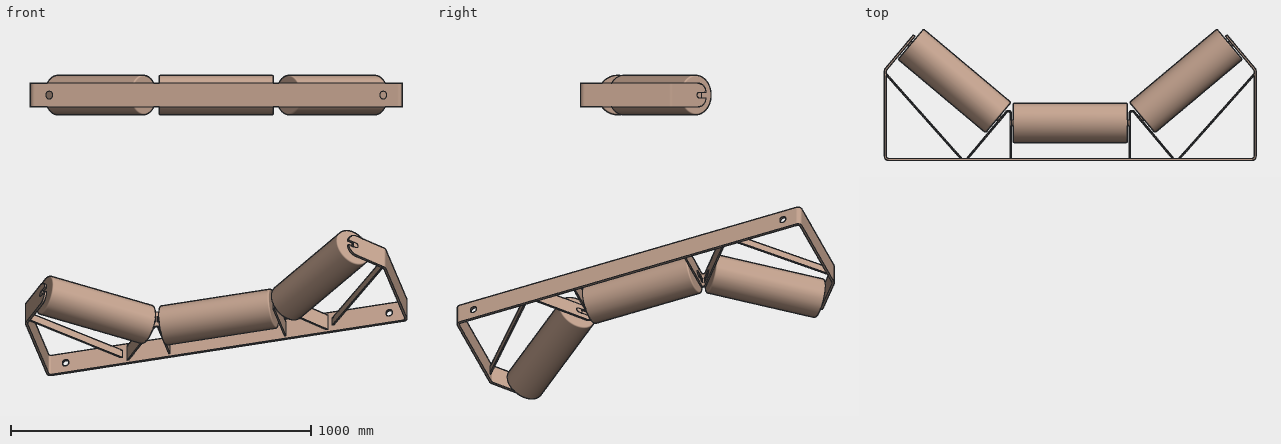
import cadquery as cq
import math


frame_length = 1240.0
frame_width = 79.0
bracket_width = 60.0
brace_width = 30.0
frame_thickness = 7.0
inner_thickness = 5.0

roller_diameter = 133.0
roller_length = 381.0
roller_edge_radius = 5.0
shaft_diameter = 20.0
end_gap = 6.0
tilt = 40.0
centre_axis_y = 125.0
wing_x = -386.0
wing_y = 265.0

slot_width = 19.0
slot_reach = 50.0
tongue_reach = 10.0

frame_bend_radius = 7.0
frame_tip_reach = 30.0
frame_tip_radius = 33.0
hole_x = 557.0
hole_width = 21.0
hole_height = 26.0

bracket_top_y = 166.0
bracket_bend_radius = 1.0
brace_foot_x = -361.0
brace_head_y = 290.0

half_length = frame_length / 2
plate_distance = roller_length / 2 + end_gap
tilt_cos = math.cos(math.radians(tilt))
tilt_sin = math.sin(math.radians(tilt))


def wing_point(along, up):
    """Point measured along and square to the left roller axis, from the middle of the roller."""
    x = wing_x + along * tilt_cos + up * tilt_sin
    y = wing_y - along * tilt_sin + up * tilt_cos
    return (x, y)


def wing_point_at_x(along, x):
    return wing_point(along, (x - wing_x - along * tilt_cos) / tilt_sin)


def wing_point_at_y(along, y):
    return wing_point(along, (y - wing_y + along * tilt_sin) / tilt_cos)


def to_wing(body):
    """Move a body built along the X axis onto the left roller axis."""
    return body.rotate((0, 0, 0), (0, 0, 1), -tilt).translate((wing_x, wing_y, 0))


def to_centre(body):
    """Move a body built along the X axis onto the centre roller axis."""
    return body.translate((0, centre_axis_y, 0))


def left_and_right(body):
    return [body, body.mirror("YZ")]


def strip_from_outline(points, width):
    """Closed outline in XY, extruded to the width of the strip about Z = 0."""
    return cq.Workplane("XY").polyline(points).close().extrude(width / 2, both=True)


def offset_path(path, distance):
    """Move an open path sideways to its left, with mitred corners."""
    normals = []
    for (x0, y0), (x1, y1) in zip(path, path[1:]):
        length = math.hypot(x1 - x0, y1 - y0)
        normals.append(((y0 - y1) / length, (x1 - x0) / length))
    befores = normals[:1] + normals
    afters = normals + normals[-1:]
    moved = []
    for (x, y), before, after in zip(path, befores, afters):
        mitre = distance / (1 + before[0] * after[0] + before[1] * after[1])
        moved.append((x + mitre * (before[0] + after[0]), y + mitre * (before[1] + after[1])))
    return moved


def bent_strip(outer_path, width, thickness, inside_radius):
    """Strip with one face on the path, its thickness to the left, and rounded bends."""
    inner_path = offset_path(outer_path, thickness)
    strip = strip_from_outline(outer_path + inner_path[::-1], width)
    outside_radius = inside_radius + thickness
    for path, radius in ((inner_path, inside_radius), (outer_path, outside_radius)):
        for x, y in path[1:-1]:
            bend_edge = cq.selectors.NearestToPointSelector((x, y, 0))
            strip = strip.edges("|Z").edges(bend_edge).fillet(radius)
    return strip


def u_bar(face_x, depth, top):
    """Bar along X from face_x: half round below the axis, straight sides up to a flat top."""
    half_width = slot_width / 2
    return (
        cq.Workplane("YZ", origin=(face_x, 0, 0))
        .moveTo(top, -half_width)
        .lineTo(0, -half_width)
        .threePointArc((-half_width, 0), (0, half_width))
        .lineTo(top, half_width)
        .close()
        .extrude(depth)
    )


def make_frame():
    outer_face = -plate_distance - frame_thickness
    tip = wing_point(outer_face, frame_tip_reach)
    bend = wing_point_at_x(outer_face, -half_length)
    left_path = [tip, bend, (-half_length, 0)]
    right_path = [(-x, y) for x, y in reversed(left_path)]
    frame = bent_strip(left_path + right_path, frame_width, frame_thickness, frame_bend_radius)

    corner_block = (
        cq.Workplane("YZ", origin=(outer_face, frame_tip_reach, 0))
        .rect(2 * frame_tip_radius, frame_width)
        .extrude(frame_thickness)
    )
    rounded_end = (
        cq.Workplane("YZ", origin=(outer_face, frame_tip_reach - frame_tip_radius, 0))
        .rect(2 * frame_tip_radius, frame_width)
        .extrude(frame_thickness)
        .edges("|X and >Y")
        .fillet(frame_tip_radius)
    )
    tip_corners = to_wing(corner_block.cut(rounded_end))
    shaft_slot = to_wing(u_bar(-plate_distance, -frame_thickness, slot_reach))
    for cutter in left_and_right(tip_corners) + left_and_right(shaft_slot):
        frame = frame.cut(cutter)

    holes = (
        cq.Workplane("XZ")
        .pushPoints([(-hole_x, 0), (hole_x, 0)])
        .slot2D(hole_height, hole_width, 90)
        .extrude(-frame_thickness)
    )
    return frame.cut(holes)


def make_roller(left_plate, right_plate):
    """Roller along X, with a shaft tongue as deep as each of the two plates that carry it."""
    roller = (
        cq.Workplane("YZ", origin=(-roller_length / 2, 0, 0))
        .circle(roller_diameter / 2)
        .extrude(roller_length)
        .edges()
        .fillet(roller_edge_radius)
    )
    shaft = cq.Workplane("YZ").circle(shaft_diameter / 2).extrude(plate_distance, both=True)
    left_tongue = u_bar(-plate_distance, -left_plate, tongue_reach)
    right_tongue = u_bar(plate_distance, right_plate, tongue_reach)
    return roller.union(shaft).union(left_tongue).union(right_tongue)


def make_inner_bracket():
    """Left bracket: leans against the tilted roller end, then drops beside the centre roller."""
    path = [
        (-plate_distance, frame_thickness),
        (-plate_distance, bracket_top_y),
        wing_point_at_y(plate_distance, bracket_top_y),
        wing_point_at_y(plate_distance, 0),
    ]
    bracket = bent_strip(path, bracket_width, inner_thickness, bracket_bend_radius)
    base = cq.Workplane("XY").box(frame_length, 2 * frame_thickness, frame_width)
    wing_slot = to_wing(u_bar(plate_distance, inner_thickness, slot_reach))
    centre_slot = to_centre(u_bar(-plate_distance, -inner_thickness, slot_reach))
    return bracket.cut(base).cut(wing_slot).cut(centre_slot)


def make_brace():
    """Left brace, from the base to the upright, cut off flush with both."""
    foot = (brace_foot_x, frame_thickness)
    head = (frame_thickness - half_length, brace_head_y)
    slope = math.atan2(head[1] - foot[1], foot[0] - head[0])
    outline = [
        foot,
        head,
        (head[0], head[1] - inner_thickness / math.cos(slope)),
        (foot[0] - inner_thickness / math.sin(slope), foot[1]),
    ]
    return strip_from_outline(outline, brace_width)


frame = make_frame()
centre_roller = to_centre(make_roller(inner_thickness, inner_thickness))
wing_rollers = left_and_right(to_wing(make_roller(frame_thickness, inner_thickness)))
inner_brackets = left_and_right(make_inner_bracket())
braces = left_and_right(make_brace())

bodies = [frame, centre_roller, *wing_rollers, *inner_brackets, *braces]
result = cq.Compound.makeCompound([body.val() for body in bodies])